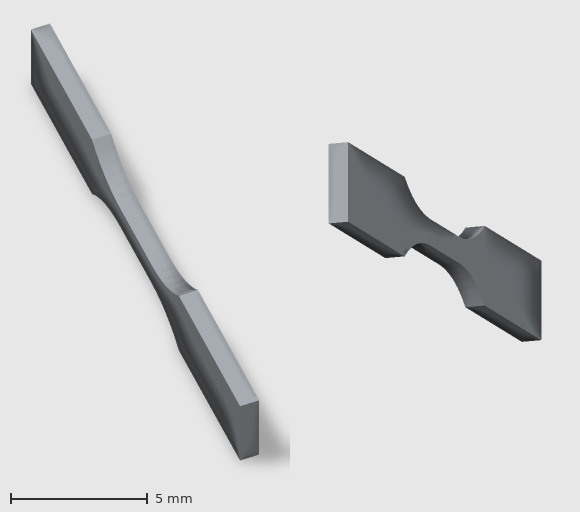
import cadquery as cq
import math

length = 19.96
grip_width = 3.0
thickness = 0.75
gauge_width = 1.0
gauge_length = 3.0
shoulder_radius = 4.0

shoulder_rise = (grip_width - gauge_width) / 2
shoulder_run = math.sqrt(shoulder_radius**2 - (shoulder_radius - shoulder_rise)**2)
grip_length = (length - gauge_length) / 2 - shoulder_run


def edge_cutout(side):
    """Recess along the upper (side=1) or lower (side=-1) edge of the blank."""
    half_gauge = gauge_length / 2
    half_opening = length / 2 - grip_length
    edge_z = side * grip_width / 2
    gauge_z = side * gauge_width / 2

    half_angle = math.asin(shoulder_run / shoulder_radius) / 2
    mid_x = half_gauge + shoulder_radius * math.sin(half_angle)
    mid_z = gauge_z + side * shoulder_radius * (1 - math.cos(half_angle))

    return (
        cq.Workplane("XZ")
        .moveTo(-half_opening, edge_z)
        .threePointArc((-mid_x, mid_z), (-half_gauge, gauge_z))
        .lineTo(half_gauge, gauge_z)
        .threePointArc((mid_x, mid_z), (half_opening, edge_z))
        .close()
        .extrude(thickness / 2, both=True)
    )


blank = cq.Workplane("XY").box(length, thickness, grip_width)
result = blank.cut(edge_cutout(1)).cut(edge_cutout(-1))